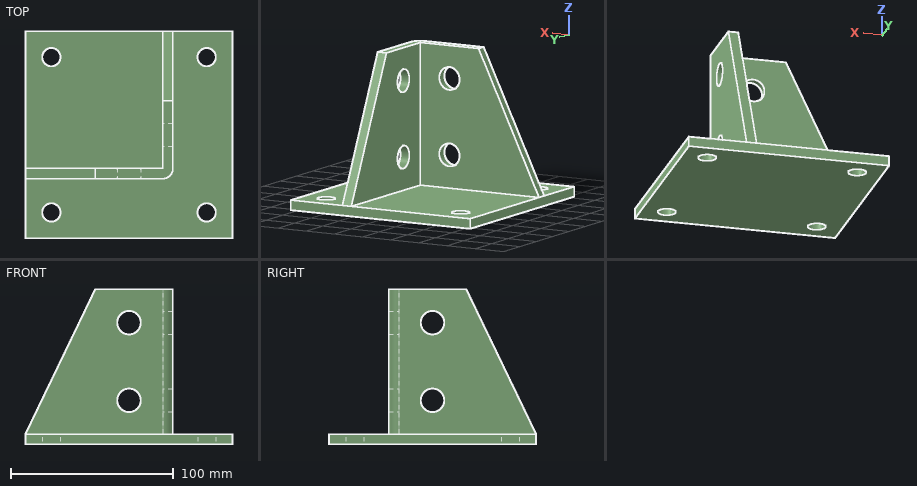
import cadquery as cq

sheet_thickness = 6.35

plate_size = 127.28
plate_thickness = sheet_thickness
anchor_hole_diameter = 11.1
anchor_hole_spacing = 95.3

total_height = 95.32
leg_thickness = sheet_thickness
leg_length = 90.6
leg_taper = 42.9
bend_radius = leg_thickness
leg_hole_diameter = 14.3
leg_hole_spacing = 47.65
leg_hole_top_margin = 20.6

plate_half = plate_size / 2
corner_x = -plate_half + leg_length
corner_y = plate_half - leg_length
upper_hole_z = total_height - leg_hole_top_margin
hole_heights = (upper_hole_z - leg_hole_spacing, upper_hole_z)


def base_plate():
    plate = cq.Workplane("XY").box(
        plate_size, plate_size, plate_thickness, centered=(True, True, False)
    )
    return (
        plate.faces(">Z")
        .workplane()
        .rect(anchor_hole_spacing, anchor_hole_spacing, forConstruction=True)
        .vertices()
        .hole(anchor_hole_diameter)
    )


def leg_along_x():
    """Tapered leg parallel to the XZ plane, free end at -X, outer face at corner_y."""
    profile = [
        (-plate_half, plate_thickness),
        (corner_x, plate_thickness),
        (corner_x, total_height),
        (-plate_half + leg_taper, total_height),
    ]
    plane = cq.Workplane("XZ", origin=(0, corner_y, 0))
    leg = plane.polyline(profile).close().extrude(-leg_thickness)
    holes = (
        plane.pushPoints([(0, z) for z in hole_heights])
        .circle(leg_hole_diameter / 2)
        .extrude(-leg_thickness)
    )
    return leg.cut(holes)


def upright():
    first_leg = leg_along_x()
    second_leg = first_leg.mirror("XZ").rotate((0, 0, 0), (0, 0, 1), -90)
    bent = first_leg.union(second_leg)
    outer_corner = cq.selectors.NearestToPointSelector((corner_x, corner_y, total_height / 2))
    return bent.edges("|Z").edges(outer_corner).fillet(bend_radius)


result = base_plate().union(upright())